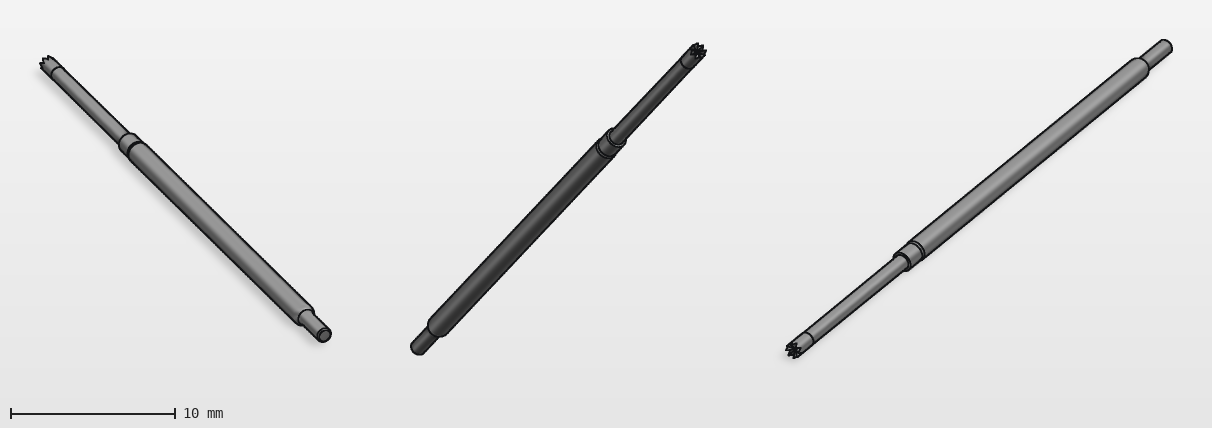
import cadquery as cq


total_length = 39.49
head_end = 1.6
collar_start = 11.58
groove_start = 12.8
groove_end = 13.0
shoulder_start = 36.47
shoulder_end = 36.85
tail_start = 37.05
tail_chamfer = 0.1

head_radius = 0.473
plunger_front_radius = 0.46
plunger_rear_radius = 0.48
collar_radius = 0.645
groove_radius = 0.61
barrel_radius = 1.37 / 2
shoulder_radius = 0.53
tail_radius = 0.47

crown_points = 8
crown_depth = 0.35
notch_width = 0.34
first_notch_angle = 12


def probe_body():
    """Contact head, slightly tapered plunger, collar, barrel and tail as one turned profile."""
    groove_middle = (groove_start + groove_end) / 2
    return (
        cq.Workplane("XZ")
        .moveTo(0, 0)
        .lineTo(0, head_radius)
        .lineTo(head_end, head_radius)
        .lineTo(head_end, plunger_front_radius)
        .lineTo(collar_start, plunger_rear_radius)
        .lineTo(collar_start, collar_radius)
        .lineTo(groove_start, collar_radius)
        .threePointArc((groove_middle, groove_radius), (groove_end, barrel_radius))
        .lineTo(shoulder_start, barrel_radius)
        .tangentArcPoint((shoulder_end, shoulder_radius), relative=False)
        .lineTo(tail_start, tail_radius)
        .lineTo(total_length - tail_chamfer, tail_radius)
        .lineTo(total_length, tail_radius - tail_chamfer)
        .lineTo(total_length, 0)
        .close()
        .revolve(360, (0, 0, 0), (1, 0, 0))
    )


def crown_notches():
    """V-grooves across the tip face, leaving the crown points between them."""
    groove_reach = 2 * head_radius
    groove_count = crown_points // 2
    straight_groove = (
        cq.Workplane("XY")
        .polyline([(0, -notch_width / 2), (crown_depth, 0), (0, notch_width / 2)])
        .close()
        .extrude(groove_reach, both=True)
    )
    notches = cq.Workplane("XY")
    for index in range(groove_count):
        angle = first_notch_angle + 180 * index / groove_count
        groove = straight_groove.rotate((0, 0, 0), (1, 0, 0), angle)
        notches = notches.add(groove)
    return notches.combine()


result = probe_body().cut(crown_notches())